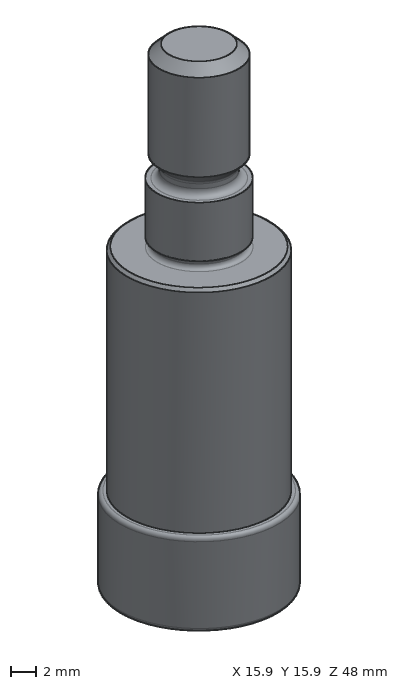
import cadquery as cq
import math

total_height = 48.0
cap_height = 8.45
barrel_top = 30.05

cap_radius = 7.945
cap_fillet_radius = 0.4

barrel_radius = 7.25
barrel_chamfer = 0.3

collar_radius = 4.2
collar_top = 36.15

lower_fillet_radius = 0.45
lower_neck_length = 0.025
collar_bottom = barrel_top + 2 * lower_fillet_radius + lower_neck_length
lower_neck_radius = collar_radius - lower_fillet_radius

upper_neck_radius = 3.1
upper_neck_length = 0.45
collar_fillet_radius = 0.65
shoulder_fillet_radius = 0.4
shoulder_angle = math.radians(45)

stud_radius = 4.0
tip_radius = 3.0
tip_chamfer_height = 0.9


def make_cap():
    """Solid disc below the barrel, rounded on both rims."""
    return (
        cq.Workplane("XY")
        .circle(cap_radius)
        .extrude(cap_height)
        .faces("<Z or >Z")
        .edges()
        .fillet(cap_fillet_radius)
    )


def make_stem():
    """Barrel and grooved stud, revolved about Z from one half outline."""
    neck_bottom = collar_top + collar_fillet_radius
    neck_top = neck_bottom + upper_neck_length
    cone_start_radius = upper_neck_radius + shoulder_fillet_radius * (1 - math.cos(shoulder_angle))
    cone_start_height = neck_top + shoulder_fillet_radius * math.sin(shoulder_angle)
    stud_bottom = cone_start_height + (stud_radius - cone_start_radius) / math.tan(shoulder_angle)
    return (
        cq.Workplane("XZ")
        .moveTo(0, cap_height)
        .lineTo(barrel_radius, cap_height)
        .lineTo(barrel_radius, barrel_top - barrel_chamfer)
        .lineTo(barrel_radius - barrel_chamfer, barrel_top)
        .lineTo(collar_radius, barrel_top)
        .radiusArc((lower_neck_radius, barrel_top + lower_fillet_radius), lower_fillet_radius)
        .lineTo(lower_neck_radius, collar_bottom - lower_fillet_radius)
        .radiusArc((collar_radius, collar_bottom), lower_fillet_radius)
        .lineTo(collar_radius, collar_top)
        .lineTo(upper_neck_radius + collar_fillet_radius, collar_top)
        .radiusArc((upper_neck_radius, neck_bottom), collar_fillet_radius)
        .lineTo(upper_neck_radius, neck_top)
        .radiusArc((cone_start_radius, cone_start_height), shoulder_fillet_radius)
        .lineTo(stud_radius, stud_bottom)
        .lineTo(stud_radius, total_height - tip_chamfer_height)
        .lineTo(tip_radius, total_height)
        .lineTo(0, total_height)
        .close()
        .revolve(360, (0, 0, 0), (0, 1, 0))
    )


cap = make_cap()
stem = make_stem()

result = cq.Compound.makeCompound([cap.val(), stem.val()])